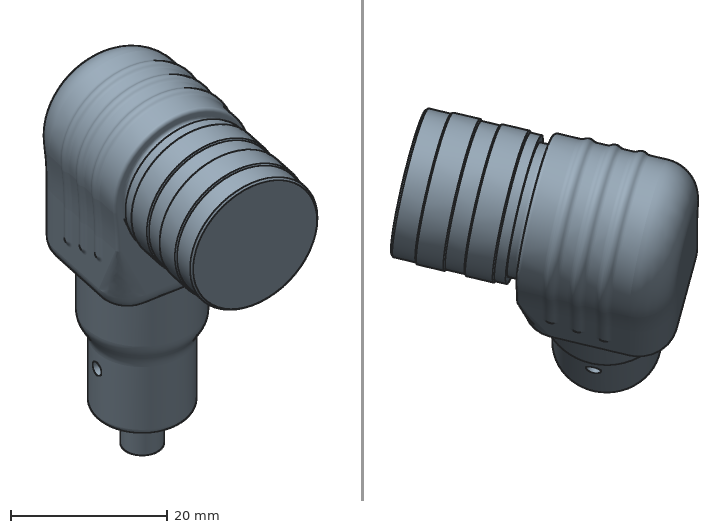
import cadquery as cq
import math


overall_length = 36.6
overall_width = 21.6
overall_height = 58.5

rib_top_radius = overall_width / 2
axis_z = overall_height - rib_top_radius

body_back = -10.55
body_front = 9.4
body_half_width = 10.0
crown_radius = 10.5
flank_blend_radius = 49.95
body_bottom = 29.2
back_round = 5.0
front_edge_round = 0.5
bottom_round = 2.5
foot_top = body_bottom + bottom_round
corner_round = 4.4

rib_height = rib_top_radius - crown_radius
rib_half_width = 1.1
rib_pitch = 3.5
rib_middle_x = 1.35
rib_middle_end_z = 36.15
rib_end_step = 1.0
rib_root_depth = 0.45

neck_diameter = 17.7
neck_fillet = 0.5
sleeve_diameter = 19.6
band_diameter = 20.0
sleeve_start = 10.9
sleeve_end = body_back + overall_length
sleeve_chamfer = 0.3
band_starts = (12.35, 18.85)
band_length = 4.0

collar_diameter = 17.0
collar_end_z = 21.6
outlet_diameter = 14.0
outlet_bottom = 6.2
outlet_round = 1.0
taper_angle = math.radians(30)
taper_arc_radius = 3.3
cable_diameter = 5.7
pin_hole_diameter = 2.0
pin_hole_z = 14.6

blend_centre_y = body_half_width + flank_blend_radius
blend_rise = math.sqrt((crown_radius + flank_blend_radius) ** 2 - blend_centre_y ** 2)
blend_angle = math.asin(blend_rise / (crown_radius + flank_blend_radius))
flank_top = axis_z - blend_rise


def over_the_crown(start, bottom):
    """Path up one flank, over the crown and down the other flank."""
    crown_y = crown_radius * math.cos(blend_angle)
    crown_z = axis_z - crown_radius * math.sin(blend_angle)
    blend_y = blend_centre_y - flank_blend_radius * math.cos(blend_angle / 2)
    blend_z = flank_top + flank_blend_radius * math.sin(blend_angle / 2)
    return (
        start.moveTo(-body_half_width, bottom)
        .lineTo(-body_half_width, flank_top)
        .threePointArc((-blend_y, blend_z), (-crown_y, crown_z))
        .threePointArc((0, axis_z + crown_radius), (crown_y, crown_z))
        .threePointArc((blend_y, blend_z), (body_half_width, flank_top))
        .lineTo(body_half_width, bottom)
    )


def corner_section(work, radius, z):
    """Sliver between a square corner at the origin and its rounding."""
    mid = radius * (1 - math.sqrt(0.5))
    return (
        work.workplane(offset=z)
        .moveTo(0, 0)
        .lineTo(-radius, 0)
        .threePointArc((-mid, mid), (0, radius))
        .close()
    )


def make_corner_cutter():
    """Cuts the lower front corner at -Y with a rounding that widens downwards."""
    corner = cq.Workplane("XY", origin=(body_front, -body_half_width, 0))
    lower = corner_section(corner, corner_round, foot_top)
    return corner_section(lower, front_edge_round, flank_top - foot_top).loft(ruled=True)


def make_foot():
    """Bottom slab of the body, exactly as high as its bottom rounding."""
    length = body_front - body_back
    foot = (
        cq.Workplane("XY", origin=(body_back + length / 2, 0, body_bottom))
        .box(length, 2 * body_half_width, 2 * bottom_round, centered=(True, True, False))
    )
    foot = foot.edges("|Z and <X").fillet(back_round)
    foot = foot.edges("|Z and >X").fillet(corner_round)
    foot = foot.faces("<Z").edges().fillet(bottom_round)
    return foot.faces(">Z").workplane(offset=-bottom_round).split(keepBottom=True)


def make_body():
    outline = over_the_crown(cq.Workplane("YZ", origin=(body_back, 0, 0)), foot_top)
    body = outline.close().extrude(body_front - body_back)
    body = body.faces("<X").edges("not <Z").fillet(back_round)
    body = body.faces(">X").edges("not <Z").fillet(front_edge_round)
    cutter = make_corner_cutter()
    body = body.cut(cutter).cut(cutter.mirror("XZ"))
    return body.union(make_foot())


def make_rib(x, end_z):
    """Low rib whose section is a crest arc with an equal hollow arc on each side."""
    inflection = rib_half_width / 2
    half_angle = math.atan(rib_height / rib_half_width)
    arc_radius = inflection / math.sin(2 * half_angle)
    arc_run = arc_radius * math.sin(half_angle)
    arc_drop = arc_radius * (1 - math.cos(half_angle))
    plane = cq.Plane(origin=(x, -body_half_width, end_z), xDir=(1, 0, 0), normal=(0, 0, 1))

    section = (
        cq.Workplane(plane)
        .moveTo(-rib_half_width, rib_root_depth)
        .lineTo(-rib_half_width, 0)
        .threePointArc((arc_run - rib_half_width, -arc_drop), (-inflection, -rib_height / 2))
        .threePointArc((0, -rib_height), (inflection, -rib_height / 2))
        .threePointArc((rib_half_width - arc_run, -arc_drop), (rib_half_width, 0))
        .lineTo(rib_half_width, rib_root_depth)
        .close()
    )
    path = over_the_crown(cq.Workplane("YZ", origin=(x, 0, 0)), end_z)
    rib = section.sweep(path)

    end = (
        cq.Workplane(plane)
        .moveTo(0, rib_root_depth)
        .lineTo(0, -rib_height)
        .threePointArc((arc_run, arc_drop - rib_height), (inflection, -rib_height / 2))
        .threePointArc((rib_half_width - arc_run, -arc_drop), (rib_half_width, 0))
        .lineTo(rib_half_width, rib_root_depth)
        .close()
        .revolve(180, (0, 0), (0, 1))
    )
    return rib.union(end).union(end.mirror("XZ"))


def cylinder_x(diameter, start, end):
    return cq.Workplane("YZ", origin=(start, 0, axis_z)).circle(diameter / 2).extrude(end - start)


def make_connector():
    neck_radius = neck_diameter / 2
    neck = cylinder_x(neck_diameter, 0, sleeve_start)
    fillet_mid = neck_fillet * (1 - math.sqrt(0.5))
    neck_root = (
        cq.Workplane("XZ", origin=(body_front, 0, axis_z))
        .lineTo(0, neck_radius + neck_fillet)
        .threePointArc((fillet_mid, neck_radius + fillet_mid), (neck_fillet, neck_radius))
        .lineTo(neck_fillet, 0)
        .close()
        .revolve(360, (0, 0), (1, 0))
    )
    sleeve = cylinder_x(sleeve_diameter, sleeve_start, sleeve_end)
    sleeve = sleeve.faces(">X").chamfer(sleeve_chamfer)
    band_step = (band_diameter - sleeve_diameter) / 2
    connector = neck.union(neck_root).union(sleeve)
    for start in band_starts:
        band = cylinder_x(band_diameter, start, start + band_length)
        connector = connector.union(band.faces("<X or >X").chamfer(band_step))
    return connector


def make_outlet():
    """Collar, tapered shoulder, outlet and cable turned about the Z axis."""
    collar_r = collar_diameter / 2
    outlet_r = outlet_diameter / 2
    cable_r = cable_diameter / 2
    arc_run = taper_arc_radius * (1 - math.cos(taper_angle))
    arc_rise = taper_arc_radius * math.sin(taper_angle)
    half_run = taper_arc_radius * (1 - math.cos(taper_angle / 2))
    half_rise = taper_arc_radius * math.sin(taper_angle / 2)
    cone_rise = (collar_r - outlet_r - 2 * arc_run) / math.tan(taper_angle)
    taper_end_z = collar_end_z - 2 * arc_rise - cone_rise
    round_mid = outlet_round * (1 - math.sqrt(0.5))
    profile = (
        cq.Workplane("XZ")
        .lineTo(cable_r, 0)
        .lineTo(cable_r, outlet_bottom)
        .lineTo(outlet_r - outlet_round, outlet_bottom)
        .threePointArc(
            (outlet_r - round_mid, outlet_bottom + round_mid),
            (outlet_r, outlet_bottom + outlet_round),
        )
        .lineTo(outlet_r, taper_end_z)
        .threePointArc(
            (outlet_r + half_run, taper_end_z + half_rise),
            (outlet_r + arc_run, taper_end_z + arc_rise),
        )
        .lineTo(collar_r - arc_run, collar_end_z - arc_rise)
        .threePointArc(
            (collar_r - half_run, collar_end_z - half_rise),
            (collar_r, collar_end_z),
        )
        .lineTo(collar_r, foot_top)
        .lineTo(0, foot_top)
        .close()
    )
    return profile.revolve(360, (0, 0), (0, 1))


def make_pin_holes():
    """Holes from both sides that stop at the cable."""
    holes = cq.Workplane("XZ", origin=(0, 0, pin_hole_z)).circle(pin_hole_diameter / 2)
    holes = holes.extrude(outlet_diameter, both=True)
    return holes.cut(cq.Workplane("XY").circle(cable_diameter / 2).extrude(body_bottom))


connector_plug = make_body()
for place in (-1, 0, 1):
    rib_x = rib_middle_x + place * rib_pitch
    connector_plug = connector_plug.union(make_rib(rib_x, rib_middle_end_z + place * rib_end_step))
connector_plug = connector_plug.union(make_connector()).union(make_outlet()).cut(make_pin_holes())
result = connector_plug.solids()